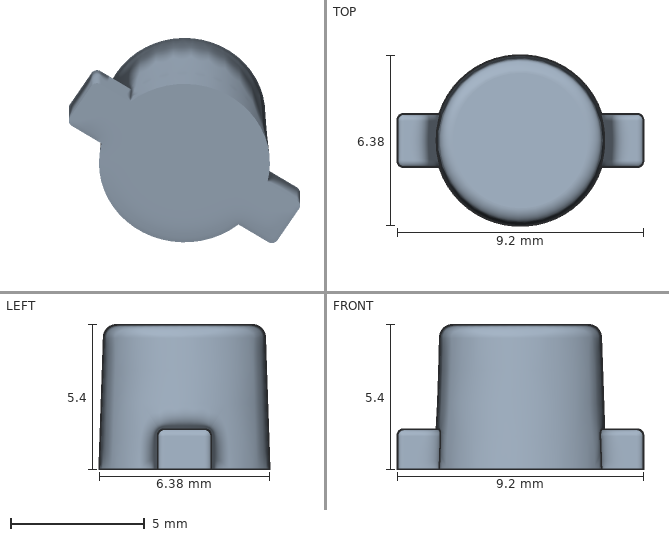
import cadquery as cq
import math

height = 5.4
base_radius = 3.19
draft_angle = 2.0
top_radius = base_radius - height * math.tan(math.radians(draft_angle))
crown_fillet = 0.5

lug_span = 9.2
lug_width = 2.0
lug_height = 1.5
lug_fillet = 0.25


def make_cap():
    """Solid cone frustum with a rounded upper rim."""
    profile = (
        cq.Workplane("XZ")
        .polyline([(0, 0), (base_radius, 0), (top_radius, height), (0, height)])
        .close()
    )
    return profile.revolve(360, (0, 0), (0, 1)).faces(">Z").edges().fillet(crown_fillet)


def make_lugs():
    """One bar through the cap; its two ends stand out as lugs, rounded except at the base."""
    bar = cq.Workplane("XY").box(lug_span, lug_width, lug_height, centered=(True, True, False))
    return bar.edges("|Z or >Z").fillet(lug_fillet)


result = make_cap().union(make_lugs())